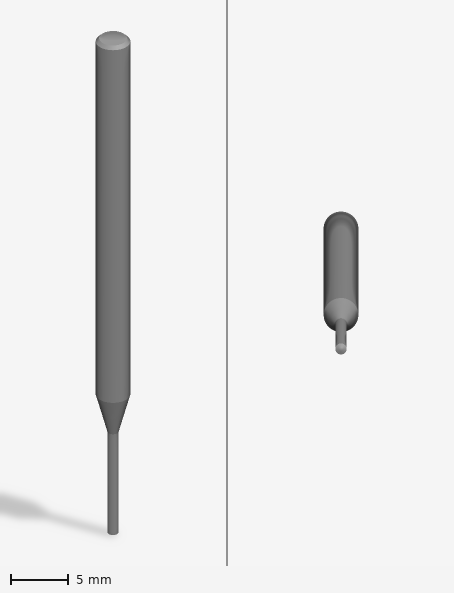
import cadquery as cq
import math

shank_diameter = 3.0
shank_length = 36.0
shank_end = 50.0
drill_diameter = 0.98
point_angle = 135.0
cutting_end = 4.9
taper_start = 10.2
end_chamfer = 0.3

shank_radius = shank_diameter / 2
drill_radius = drill_diameter / 2
shank_start = shank_end - shank_length
point_height = drill_radius / math.tan(math.radians(point_angle / 2))


def revolved(profile):
    """Turn a closed outline of (radius, height) points about the Z axis."""
    return cq.Workplane("XZ").polyline(profile).close().revolve(360, (0, 0), (0, 1))


def make_shank():
    """Neck, taper and shank above the cutting part, chamfered at the upper end."""
    return revolved([
        (0, cutting_end),
        (drill_radius, cutting_end),
        (drill_radius, taper_start),
        (shank_radius, shank_start),
        (shank_radius, shank_end - end_chamfer),
        (shank_radius - end_chamfer, shank_end),
        (0, shank_end),
    ])


def make_cutting_part():
    """Cylindrical cutting part with a conical point."""
    return revolved([
        (0, -point_height),
        (drill_radius, 0),
        (drill_radius, cutting_end),
        (0, cutting_end),
    ])


shank = make_shank()
cutting_part = make_cutting_part()

result = cq.Compound.makeCompound([shank.val(), cutting_part.val()])